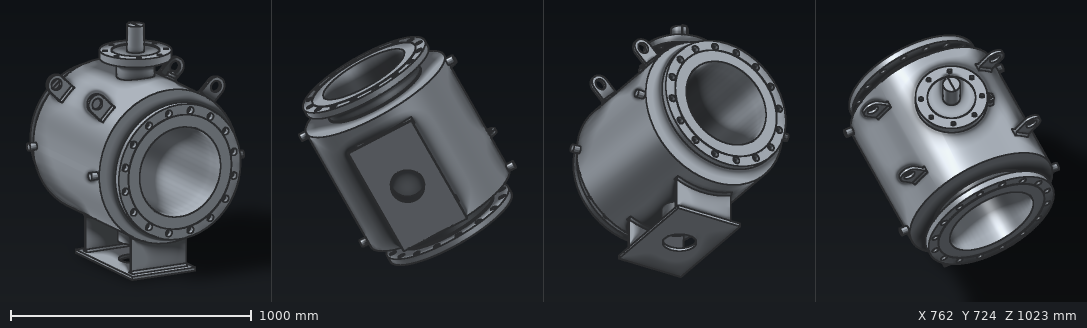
import cadquery as cq
import math


body_diameter = 660.0
body_length = 565.0
bore_diameter = 386.0
overall_length = 762.0
neck_diameter = 434.0
neck_weld_length = 6.0
neck_weld_rise = 2.0

flange_diameter = 580.0
flange_thickness = 30.0
raised_face_diameter = 490.0
raised_face_height = 3.0
flange_bolt_count = 16
flange_bolt_circle = 525.0
flange_bolt_hole = 30.0

shaft_top = 543.0
shaft_diameter = 72.0
key_width = 20.0
key_reach = 42.0
mark_width = 1.0
mark_depth = 1.0
housing_diameter = 159.0
mount_top = 435.0
mount_thickness = 35.0
mount_diameter = 300.0
mount_weld_size = 14.0
recess_diameter = 200.0
recess_depth = 5.0
mount_bolt_count = 8
mount_bolt_circle = 254.0
mount_bolt_hole = 18.0

trunnion_diameter = 149.0
trunnion_bottom = -387.0

pin_diameter = 32.0
pin_offset = 263.0
pin_span = 724.0

base_bottom = shaft_top - 1023
base_length = 485.0
base_width = 300.0
base_thickness = 14.0
base_hole = 140.0
leg_offset = 193.0
leg_thickness = 10.0
leg_width = 262.0
leg_base_weld = 10.0
leg_body_weld = 10.0

lug_offset = 174.0
lug_angle = 45
lug_thickness = 15.0
lug_width = 82.0
lug_hole = 48.0
lug_hole_radius = 399.0
lug_weld = 9.0

vent_angle = 30
vent_weld_diameter = 64.0
vent_plug_diameter = 40.0
vent_plug_bottom = 340.0
vent_plug_top = 354.0
vent_tip_diameter = 17.0
vent_tip_top = 366.0

body_radius = body_diameter / 2
base_top = base_bottom + base_thickness
overlap = 15.0


def cylinder_x(diameter, x_start, x_end):
    """Solid cylinder on the pipe axis."""
    return cq.Workplane("YZ", origin=(x_start, 0, 0)).circle(diameter / 2).extrude(x_end - x_start)


def cylinder_z(diameter, z_start, z_end):
    """Solid cylinder on the stem axis."""
    return cq.Workplane("XY", origin=(0, 0, z_start)).circle(diameter / 2).extrude(z_end - z_start)


def weld_wedge(thickness, leg, base_z, depth, length):
    """Pair of 45 degree fillet welds along Y, on both sides of a plate standing on base_z."""
    half = thickness / 2
    outline = [
        (-half - leg, base_z - depth),
        (-half - leg, base_z),
        (-half, base_z + leg),
        (half, base_z + leg),
        (half + leg, base_z),
        (half + leg, base_z - depth),
    ]
    return cq.Workplane("XZ").polyline(outline).close().extrude(length / 2, both=True)


def pipe_end():
    """Neck and flange on the +X side, turned about the pipe axis."""
    body_end = body_length / 2
    face = overall_length / 2
    flange_front = face - raised_face_height
    flange_back = flange_front - flange_thickness
    neck_radius = neck_diameter / 2
    weld_radius = neck_radius + neck_weld_rise
    outline = [
        (body_end - overlap, 0),
        (body_end - overlap, weld_radius),
        (body_end, weld_radius),
        (body_end + neck_weld_length, neck_radius),
        (flange_back - neck_weld_length, neck_radius),
        (flange_back, weld_radius),
        (flange_back, flange_diameter / 2),
        (flange_front, flange_diameter / 2),
        (flange_front, raised_face_diameter / 2),
        (face, raised_face_diameter / 2),
        (face, 0),
    ]
    end = cq.Workplane("XY").polyline(outline).close().revolve(360, (0, 0), (1, 0))
    bolt_holes = (
        cq.Workplane("YZ", origin=(flange_back, 0, 0))
        .polarArray(flange_bolt_circle / 2, 180 / flange_bolt_count, 360, flange_bolt_count)
        .circle(flange_bolt_hole / 2)
        .extrude(face - flange_back)
    )
    return end.cut(bolt_holes)


def stem():
    """Housing, recessed mounting flange and keyed shaft with a position mark."""
    mount_bottom = mount_top - mount_thickness
    housing_radius = housing_diameter / 2
    recess_floor = mount_top - recess_depth
    outline = [
        (0, 0),
        (housing_radius, 0),
        (housing_radius, mount_bottom - mount_weld_size),
        (housing_radius + mount_weld_size, mount_bottom),
        (mount_diameter / 2, mount_bottom),
        (mount_diameter / 2, mount_top),
        (recess_diameter / 2, mount_top),
        (recess_diameter / 2, recess_floor),
        (0, recess_floor),
    ]
    housing = cq.Workplane("XZ").polyline(outline).close().revolve(360, (0, 0), (0, 1))
    bolt_holes = (
        cq.Workplane("XY", origin=(0, 0, mount_bottom))
        .polarArray(mount_bolt_circle / 2, 180 / mount_bolt_count, 360, mount_bolt_count)
        .circle(mount_bolt_hole / 2)
        .extrude(mount_thickness)
    )
    shaft = cylinder_z(shaft_diameter, recess_floor, shaft_top)
    key = cq.Workplane("XY").box(key_reach, key_width, shaft_top - recess_floor, centered=(False, True, False))
    key = key.translate((-key_reach, 0, recess_floor))
    mark_length = key_reach + shaft_diameter / 2
    mark = cq.Workplane("XY").box(mark_length, mark_width, mark_depth, centered=(False, True, False))
    mark = mark.translate((-key_reach, 0, shaft_top - mark_depth))
    return housing.cut(bolt_holes).union(shaft).union(key).cut(mark)


def side_pins():
    """One pin through the body near each end, showing on both sides."""
    return (
        cq.Workplane("XZ")
        .pushPoints([(-pin_offset, 0), (pin_offset, 0)])
        .circle(pin_diameter / 2)
        .extrude(pin_span / 2, both=True)
    )


def leg():
    """Upright plate on the stem plane, welded to the base plate and to the body."""
    plate = cq.Workplane("XY").box(leg_thickness, leg_width, -base_top, centered=(True, True, False))
    plate = plate.translate((0, 0, base_top))
    base_weld = weld_wedge(leg_thickness, leg_base_weld, base_top, base_thickness / 2, leg_width)
    half = leg_thickness / 2
    weld_section = [
        (-half - leg_body_weld, 0),
        (-half - leg_body_weld, body_radius),
        (-half, body_radius + leg_body_weld),
        (half, body_radius + leg_body_weld),
        (half + leg_body_weld, body_radius),
        (half + leg_body_weld, 0),
    ]
    ring = cq.Workplane("XY").polyline(weld_section).close().revolve(360, (0, 0), (1, 0))
    lower_zone = cq.Workplane("XY").box(body_diameter, leg_width, body_diameter, centered=(True, True, False))
    body_weld = ring.intersect(lower_zone.translate((0, 0, -body_diameter)))
    return plate.union(base_weld).union(body_weld)


def stand():
    """Base plate with its central hole, and the two legs."""
    base = cq.Workplane("XY").box(base_length, base_width, base_thickness, centered=(True, True, False))
    base = base.translate((0, 0, base_bottom)).cut(cylinder_z(base_hole, base_bottom, base_top))
    for x in (-leg_offset, leg_offset):
        base = base.union(leg().translate((x, 0, 0)))
    return base


def lug():
    """Lifting lug standing on top of the body, before it is swung about the pipe axis."""
    root = body_radius - overlap
    half = lug_width / 2
    plate = (
        cq.Workplane("YZ")
        .moveTo(-half, root)
        .lineTo(-half, lug_hole_radius)
        .threePointArc((0, lug_hole_radius + half), (half, lug_hole_radius))
        .lineTo(half, root)
        .close()
        .moveTo(0, lug_hole_radius)
        .circle(lug_hole / 2)
        .extrude(lug_thickness / 2, both=True)
    )
    return plate.union(weld_wedge(lug_thickness, lug_weld, body_radius, overlap, lug_width))


def vent():
    """Stepped vent plug on a conical weld, leaning towards +Y."""
    outline = [
        (0, body_radius - overlap),
        (vent_weld_diameter / 2, body_radius - overlap),
        (vent_weld_diameter / 2, math.sqrt(body_radius**2 - (vent_weld_diameter / 2) ** 2)),
        (vent_plug_diameter / 2, vent_plug_bottom),
        (vent_plug_diameter / 2, vent_plug_top),
        (vent_tip_diameter / 2, vent_plug_top),
        (vent_tip_diameter / 2, vent_tip_top),
        (0, vent_tip_top),
    ]
    plug = cq.Workplane("XZ").polyline(outline).close().revolve(360, (0, 0), (0, 1))
    return plug.rotate((0, 0, 0), (1, 0, 0), -vent_angle)


valve = cylinder_x(body_diameter, -body_length / 2, body_length / 2)
valve = valve.union(pipe_end()).union(pipe_end().mirror("YZ"))
valve = valve.union(stem()).union(cylinder_z(trunnion_diameter, trunnion_bottom, 0))
valve = valve.union(side_pins()).union(stand()).union(vent())
for lug_x in (-lug_offset, lug_offset):
    for swing in (-lug_angle, lug_angle):
        valve = valve.union(lug().rotate((0, 0, 0), (1, 0, 0), swing).translate((lug_x, 0, 0)))

result = valve.cut(cylinder_x(bore_diameter, -overall_length / 2, overall_length / 2))